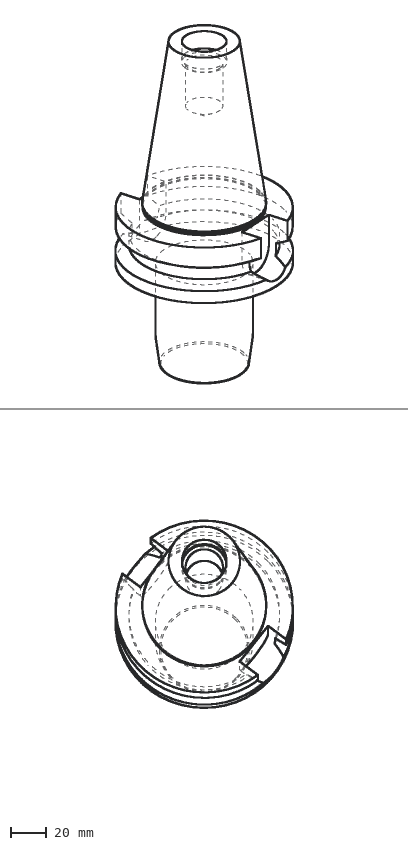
import cadquery as cq
import math

total_height = 203.8
flange_diameter = 100.0

taper_length = 102
gauge_diameter = 70.0
taper_ratio = 7 / 24
taper_top_diameter = gauge_diameter - taper_length * taper_ratio
gauge_z = total_height - taper_length
gauge_land = 0.6
neck_diameter = 69.5
neck_groove_diameter = 68.9
neck_groove_bottom_z = 99.9

upper_rim_diameter = 99.7
flange_bottom_z = 64.0
flange_top_z = 99.0
lip_top_z = 71.5
groove_bottom_z = 75.2
groove_top_z = 82.3
upper_rim_bottom_z = 86.5
groove_diameter = 84.8

nose_diameter = 55
nose_straight_end_z = 19.5
nose_cone_start_z = 16.5
nose_cone_start_diameter = 54.6
nose_end_diameter = 50.5
nose_chamfer = 0.8

slot_width = 26.0
slot_floor_x = 35.3
slot_bottom_z = 68.0
slot_corner_radius = 12.2

counterbore_diameter = 25.0
counterbore_depth = 11.0
relief_diameter = 25.5
relief_width = 2.2
shoulder_cone_height = 0.8
hole_diameter = 21.0
hole_depth = 40.8
drill_tip_angle = 118


def make_body():
    """Revolve the half-section of the holder about Z."""
    outline = [
        (0, 0),
        (nose_end_diameter / 2 - nose_chamfer, 0),
        (nose_end_diameter / 2, nose_chamfer),
        (nose_cone_start_diameter / 2, nose_cone_start_z),
        (nose_diameter / 2, nose_straight_end_z),
        (nose_diameter / 2, flange_bottom_z),
        (flange_diameter / 2, flange_bottom_z),
        (flange_diameter / 2, lip_top_z),
        (groove_diameter / 2, groove_bottom_z),
        (groove_diameter / 2, groove_top_z),
        (upper_rim_diameter / 2, upper_rim_bottom_z),
        (upper_rim_diameter / 2, flange_top_z),
        (neck_diameter / 2, flange_top_z),
        (neck_diameter / 2, neck_groove_bottom_z),
        (neck_groove_diameter / 2, neck_groove_bottom_z),
        (neck_groove_diameter / 2, gauge_z - gauge_land),
        (gauge_diameter / 2, gauge_z - gauge_land),
        (gauge_diameter / 2, gauge_z),
        (taper_top_diameter / 2, total_height),
        (0, total_height),
    ]
    return cq.Workplane("XZ").polyline(outline).close().revolve(360, (0, 0, 0), (0, 1, 0))


def make_slot(side):
    """Cutter for one drive slot; side is +1 or -1 along X."""
    length = flange_diameter / 2
    height = flange_top_z - slot_bottom_z
    return (
        cq.Workplane("XY")
        .box(length, slot_width, height)
        .edges("|X and <Z")
        .fillet(slot_corner_radius)
        .translate((side * (slot_floor_x + length / 2), 0, slot_bottom_z + height / 2))
    )


def make_hole():
    """Cutter for the blind hole: counterbore, relief groove, sloped shoulder and drilled end."""
    tip_height = hole_diameter / 2 / math.tan(math.radians(drill_tip_angle / 2))
    relief_top_z = total_height - counterbore_depth
    relief_bottom_z = relief_top_z - relief_width
    hole_end_z = total_height - hole_depth
    outline = [
        (0, total_height),
        (counterbore_diameter / 2, total_height),
        (counterbore_diameter / 2, relief_top_z),
        (relief_diameter / 2, relief_top_z),
        (relief_diameter / 2, relief_bottom_z),
        (hole_diameter / 2, relief_bottom_z - shoulder_cone_height),
        (hole_diameter / 2, hole_end_z),
        (0, hole_end_z - tip_height),
    ]
    return cq.Workplane("XZ").polyline(outline).close().revolve(360, (0, 0, 0), (0, 1, 0))


result = make_body().cut(make_hole())
for side in (-1, 1):
    result = result.cut(make_slot(side))